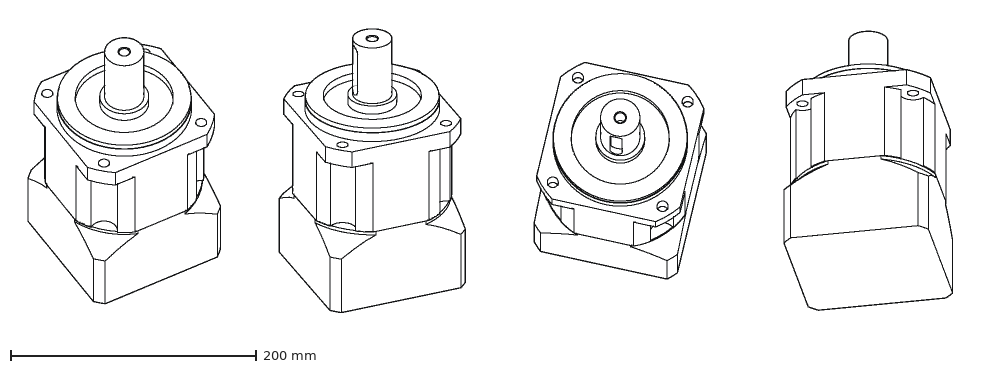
import cadquery as cq
import math

WIDTH = 120.0
TOTAL_HEIGHT = 214.0

ADAPTER_HEIGHT = 69.3
ADAPTER_CORNER_DIA = 160.0
ADAPTER_NECK_DIA = 128.0
CORNER_TOP_Z = 50.0

HOUSING_DIA = 130.0
FLANGE_DIA = 148.0
FLANGE_BOTTOM_Z = 133.8
FLANGE_TOP_Z = 148.3

BOLT_HOLE_DIA = 9.0
BOLT_RELIEF_DIA = 22.0
BOLT_OFFSET = HOUSING_DIA / 2 * math.sqrt(0.5)

PILOT_DIA = 110.0
PILOT_TIP_DIA = 109.1
PILOT_STEP_Z = 156.5
PILOT_TOP_Z = 160.7
RECESS_DIA = 80.0
RECESS_DEPTH = 6.5

SHAFT_DIA = 32.0
COLLAR_DIA = 40.0
COLLAR_TOP_Z = 162.0

KEYWAY_WIDTH = 10.0
KEYWAY_LENGTH = 45.0
KEYWAY_DEPTH = 5.0
KEYWAY_END_GAP = 4.0

CENTRE_HOLE_DIA = 8.5
CENTRE_HOLE_DEPTH = 21.5
COUNTERSINK_DIA = 10.0
DRILL_TIP_ANGLE = 118.0


def cylinder(diameter, bottom_z, top_z):
    """Upright cylinder on the main axis."""
    return cq.Workplane("XY").workplane(offset=bottom_z).circle(diameter / 2).extrude(top_z - bottom_z)


def square_block(bottom_z, top_z):
    """Square block of the full width, centred on the main axis."""
    return cq.Workplane("XY").workplane(offset=bottom_z).rect(WIDTH, WIDTH).extrude(top_z - bottom_z)


def rounded_block(corner_dia, bottom_z, top_z):
    """Square block whose four corners are trimmed by a coaxial cylinder."""
    return square_block(bottom_z, top_z).intersect(cylinder(corner_dia, bottom_z, top_z))


def make_adapter():
    """Square adapter whose corners slope at 45 degrees up to a round neck."""
    corner_radius = ADAPTER_CORNER_DIA / 2
    neck_radius = ADAPTER_NECK_DIA / 2
    neck_bottom_z = CORNER_TOP_Z + corner_radius - neck_radius
    envelope = (
        cq.Workplane("XZ")
        .moveTo(0, 0)
        .lineTo(corner_radius, 0)
        .lineTo(corner_radius, CORNER_TOP_Z)
        .lineTo(neck_radius, neck_bottom_z)
        .lineTo(neck_radius, ADAPTER_HEIGHT)
        .lineTo(0, ADAPTER_HEIGHT)
        .close()
        .revolve(360, (0, 0, 0), (0, 1, 0))
    )
    return square_block(0, ADAPTER_HEIGHT).intersect(envelope)


def bolt_cylinders(diameter, bottom_z, top_z):
    """Four upright cylinders on the bolt hole centres."""
    return (
        cq.Workplane("XY")
        .workplane(offset=bottom_z)
        .rect(2 * BOLT_OFFSET, 2 * BOLT_OFFSET, forConstruction=True)
        .vertices()
        .circle(diameter / 2)
        .extrude(top_z - bottom_z)
    )


def make_keyway():
    """Round-ended slot volume, cut into the +Y side of the shaft."""
    centre_z = TOTAL_HEIGHT - KEYWAY_END_GAP - KEYWAY_LENGTH / 2
    floor_y = SHAFT_DIA / 2 - KEYWAY_DEPTH
    return (
        cq.Workplane("XZ", origin=(0, floor_y, centre_z))
        .slot2D(KEYWAY_LENGTH, KEYWAY_WIDTH, 90)
        .extrude(-SHAFT_DIA)
    )


def make_centre_hole():
    """Drilled hole with a 90 degree countersink and a conical bottom."""
    hole_radius = CENTRE_HOLE_DIA / 2
    sink_radius = COUNTERSINK_DIA / 2
    sink_bottom_z = TOTAL_HEIGHT - (sink_radius - hole_radius)
    hole_bottom_z = TOTAL_HEIGHT - CENTRE_HOLE_DEPTH
    tip_height = hole_radius / math.tan(math.radians(DRILL_TIP_ANGLE / 2))
    return (
        cq.Workplane("XZ")
        .moveTo(0, TOTAL_HEIGHT)
        .lineTo(sink_radius, TOTAL_HEIGHT)
        .lineTo(hole_radius, sink_bottom_z)
        .lineTo(hole_radius, hole_bottom_z)
        .lineTo(0, hole_bottom_z - tip_height)
        .close()
        .revolve(360, (0, 0, 0), (0, 1, 0))
    )


def make_gearbox():
    """Gear housing with mounting flange, pilot and output shaft."""
    recess_floor_z = PILOT_TOP_Z - RECESS_DEPTH

    housing = rounded_block(HOUSING_DIA, ADAPTER_HEIGHT, FLANGE_BOTTOM_Z)
    flange = rounded_block(FLANGE_DIA, FLANGE_BOTTOM_Z, FLANGE_TOP_Z)
    pilot = cylinder(PILOT_DIA, FLANGE_TOP_Z, PILOT_STEP_Z)
    pilot_tip = cylinder(PILOT_TIP_DIA, PILOT_STEP_Z, PILOT_TOP_Z)
    body = housing.union(flange).union(pilot).union(pilot_tip)

    body = body.cut(bolt_cylinders(BOLT_RELIEF_DIA, ADAPTER_HEIGHT, FLANGE_BOTTOM_Z))
    body = body.cut(bolt_cylinders(BOLT_HOLE_DIA, FLANGE_BOTTOM_Z, FLANGE_TOP_Z))
    body = body.cut(cylinder(RECESS_DIA, recess_floor_z, PILOT_TOP_Z))

    collar = cylinder(COLLAR_DIA, recess_floor_z, COLLAR_TOP_Z)
    shaft = cylinder(SHAFT_DIA, COLLAR_TOP_Z, TOTAL_HEIGHT)
    shaft = shaft.cut(make_keyway()).cut(make_centre_hole())
    return body.union(collar).union(shaft)


adapter = make_adapter()
gearbox = make_gearbox()

result = cq.Compound.makeCompound([adapter.val(), gearbox.val()])